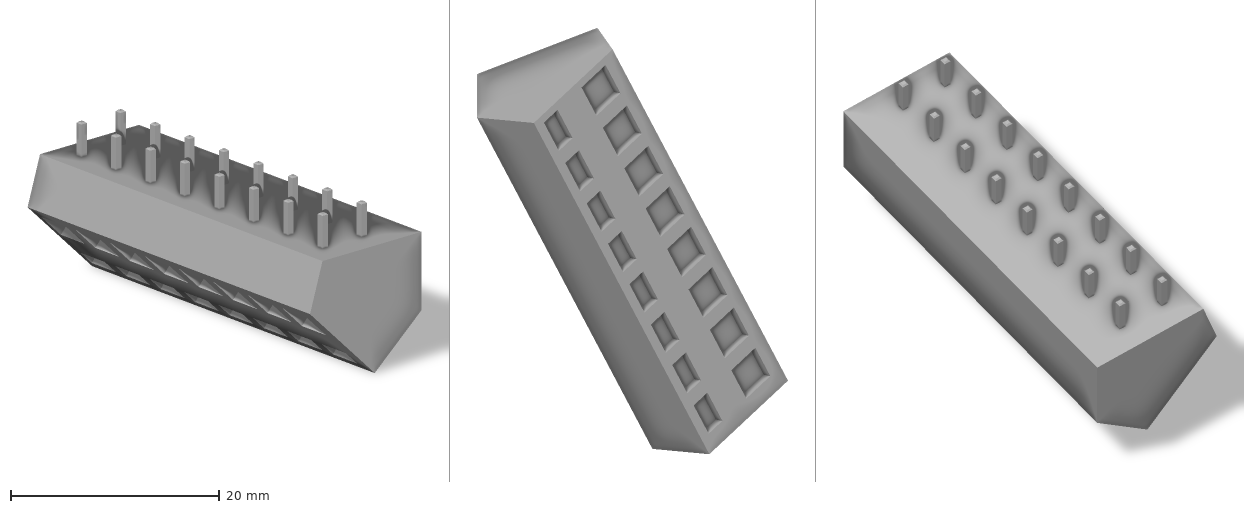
import cadquery as cq
import math

module_count = 8
pitch = 5.0
end_plate_thickness = 1.0

housing_height = 13.0
housing_depth = 14.3
top_depth = 12.7
back_bottom_z = 5.0
nose_z = 7.96
ridge_y = -6.0

entry_width = 3.5
entry_depth = 1.0
lower_entry_start = 1.0
lower_entry_length = 2.0
upper_entry_start = 6.5
upper_entry_length = 3.5
entry_x = 2.5

pin_size = 0.7
pin_length = 3.5
pin_bevel = 0.15
pin_x = 3.0
pin_rows_y = [-5.0, -10.0]

slope_run = housing_depth + ridge_y
slope_length = math.hypot(slope_run, nose_z)
slope_y = -slope_run / slope_length
slope_z = nose_z / slope_length


def housing_slab(start_x, thickness):
    """Five-sided housing profile extruded along +X."""
    profile = [
        (0, back_bottom_z),
        (0, housing_height),
        (-top_depth, housing_height),
        (-housing_depth, nose_z),
        (ridge_y, 0),
    ]
    return cq.Workplane("YZ", origin=(start_x, 0, 0)).polyline(profile).close().extrude(thickness)


def entry_pocket(center_x, start, length):
    """Block that cuts one wire entry pocket into the sloped face."""
    center = start + length / 2
    face = cq.Plane(
        origin=(center_x, ridge_y + center * slope_y, center * slope_z),
        xDir=(1, 0, 0),
        normal=(0, -slope_z, slope_y),
    )
    return cq.Workplane(face).rect(entry_width, length).extrude(-entry_depth)


def solder_pin(center_x, center_y):
    """Square pin standing on the housing top."""
    pin = cq.Workplane("XY", origin=(center_x, center_y, housing_height))
    return pin.rect(pin_size, pin_size).extrude(pin_length).faces(">Z").chamfer(pin_bevel)


def terminal_module(start_x):
    """One terminal: housing slab with two wire entries and two solder pins."""
    module = housing_slab(start_x, pitch)
    module = module.cut(entry_pocket(start_x + entry_x, lower_entry_start, lower_entry_length))
    module = module.cut(entry_pocket(start_x + entry_x, upper_entry_start, upper_entry_length))
    for row_y in pin_rows_y:
        module = module.union(solder_pin(start_x + pin_x, row_y))
    return module


modules = [terminal_module(index * pitch) for index in range(module_count)]
end_plate = housing_slab(module_count * pitch, end_plate_thickness)

result = cq.Compound.makeCompound([*[module.val() for module in modules], end_plate.val()])